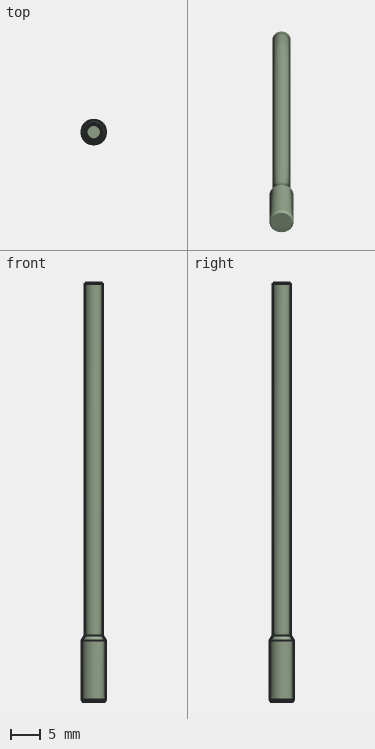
import cadquery as cq

total_length = 70.0
head_diameter = 4.05
rod_diameter = 3.0
head_length = 11.05
shoulder_height = 0.85
base_chamfer_height = 0.4
base_chamfer_width = 0.245
rod_tip_chamfer = 0.3

shoulder_width = (head_diameter - rod_diameter) / 2
rod_length = total_length - head_length


def make_head():
    """Thick cylinder with a tapered shoulder on top and a chamfered base."""
    return (
        cq.Workplane("XY")
        .circle(head_diameter / 2)
        .extrude(head_length)
        .faces("<Z")
        .edges()
        .chamfer(base_chamfer_height, base_chamfer_width)
        .faces(">Z")
        .edges()
        .chamfer(shoulder_height, shoulder_width)
    )


def make_rod():
    """Slender rod standing on the head, with a chamfered free end."""
    return (
        cq.Workplane("XY")
        .workplane(offset=head_length)
        .circle(rod_diameter / 2)
        .extrude(rod_length)
        .faces(">Z")
        .chamfer(rod_tip_chamfer)
    )


head = make_head()
rod = make_rod()

result = cq.Compound.makeCompound([head.val(), rod.val()])